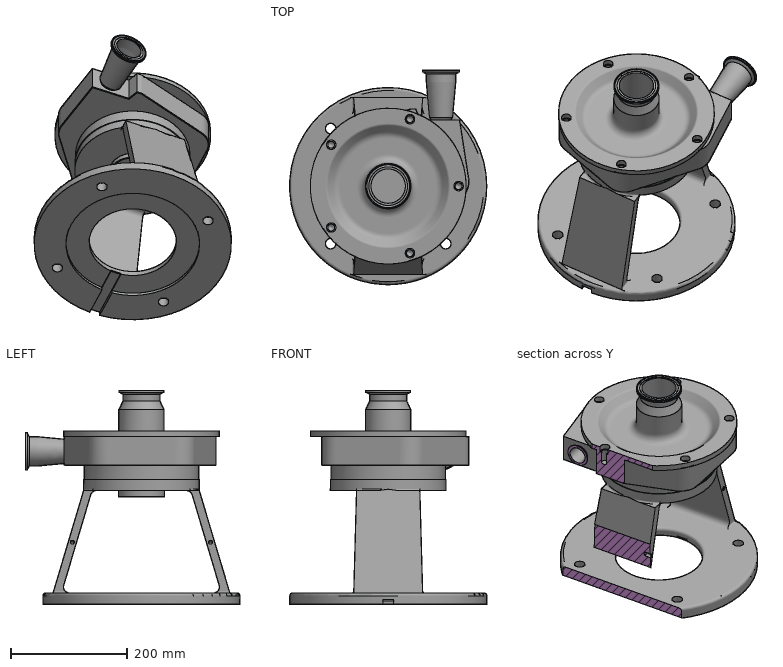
import cadquery as cq
import math

OVERALL_LENGTH = 370.0

BASE_DIAMETER = 340.0
BASE_RADIUS = BASE_DIAMETER / 2
BASE_HEIGHT = 20.0
BASE_EDGE_FILLET = 5.0
BASE_BORE_RADIUS = 75.0
SPIGOT_RADIUS = 115.0
SPIGOT_DEPTH = 6.0
MOUNT_CIRCLE_RADIUS = 140.2
MOUNT_HOLE_COUNT = 4
MOUNT_START_ANGLE = 45.0
MOUNT_HOLE_RADIUS = 9.0
DRAIN_WIDTH = 18.5
DRAIN_HEIGHT = 9.0

HUB_Z = 196.0
HUB_RADIUS = 100.0
HUB_STEP_Z = 215.7
HUB_UPPER_RADIUS = 98.8
BOSS_RADIUS = 40.0
BOSS_HEIGHT = 11.0
BOSS_EDGE_CHAMFER = 1.0

LEG_HEAD_Y = HUB_RADIUS
LEG_FOOT_Y = 152.5
LEG_THICKNESS_Y = 14.8
LEG_HEAD_HALF_WIDTH = 54.8
LEG_FOOT_HALF_WIDTH = 59.5
LEG_INNER_FILLET = 10.0
LEG_SIDE_FILLET = 2.5
LEG_OVERLAP = 3.7
LEG_HOLE_Z = 107.3
LEG_HOLE_RADIUS = 3.5
LEG_HOLE_DEPTH = 11.0

CASING_Z = 239.5
CASING_TOP_Z = 289.5
CASING_APOTHEM = 114.7
CASING_CORNER_RADIUS = 34.8
CASING_EDGE_CHAMFER = 1.0
CASING_SIDES = 5
OUTLET_FACE_X = 123.2
OUTLET_FACE_Y = 114.0
VOLUTE_FLARE = 8.8
HORN_Y = 133.2
HORN_TIP_X = 47.7
HORN_ROOT_X = 55.0

COVER_TOP_Z = 299.5
COVER_RADIUS = 134.3
BOLT_CIRCLE_RADIUS = 121.5
BOLT_HOLE_RADIUS = 8.0
BOLT_CORE_RADIUS = 6.0
BOLT_CORE_DEPTH = 22.2
DISH_DEPTH = 16.3
DISH_FLOOR_RADIUS = 89.0
DISH_FLOOR_FILLET = 15.0
DISH_LIP_FILLET = 5.0

INLET_TOP_Z = 369.0
INLET_NECK_RADIUS = 39.2
INLET_NECK_FILLET = 14.8
INLET_CONE_Z = 335.5
INLET_PIPE_Z = 350.5
INLET_PIPE_RADIUS = 32.2
INLET_FERRULE_RADIUS = 39.0
INLET_BORE_RADIUS = 29.5

OUTLET_X = 91.0
OUTLET_Z = 263.8
OUTLET_END_Y = OVERALL_LENGTH - BASE_RADIUS
OUTLET_PIPE_Y = 179.0
OUTLET_PIPE_RADIUS = 25.5
OUTLET_ROOT_RADIUS = 20.0
OUTLET_NECK_Y = 118.5
OUTLET_NECK_RADIUS = 17.0
OUTLET_FERRULE_RADIUS = 32.2
OUTLET_WALL = 3.0

FERRULE_RIM = 3.7
FERRULE_LENGTH = 7.0
FERRULE_CHAMFER = 2.0
GROOVE_INSET = 3.7
GROOVE_RADIUS = 2.0

DRILL_POINT_ANGLE = 118.0


def cylinder(radius, z_bottom, z_top):
    return cq.Workplane("XY").workplane(offset=z_bottom).circle(radius).extrude(z_top - z_bottom)


def revolved(profile):
    """Solid of revolution about Z from (radius, z) points."""
    return cq.Workplane("XZ").polyline(profile).close().revolve(360, (0, 0), (0, 1))


def drilled_hole(radius, depth):
    """Cutter for a blind hole entering downward at the origin, with a conical bottom."""
    tip = radius / math.tan(math.radians(DRILL_POINT_ANGLE / 2))
    return revolved([(0, 0), (radius, 0), (radius, -depth), (0, -depth - tip)])


def polar_points(radius, count, start):
    angles = [math.radians(start + i * 360 / count) for i in range(count)]
    return [(radius * math.cos(a), radius * math.sin(a)) for a in angles]


def fillet_edges_at(solid, points, radius):
    for point in points:
        solid = solid.edges(cq.selectors.NearestToPointSelector(point)).fillet(radius)
    return solid


def make_base():
    base = cylinder(BASE_RADIUS, 0, BASE_HEIGHT)
    base = base.cut(cylinder(BASE_BORE_RADIUS, 0, BASE_HEIGHT))
    base = base.faces(">Z").edges().fillet(BASE_EDGE_FILLET)
    base = base.cut(cylinder(SPIGOT_RADIUS, 0, SPIGOT_DEPTH))
    holes = (
        cq.Workplane("XY")
        .pushPoints(polar_points(MOUNT_CIRCLE_RADIUS, MOUNT_HOLE_COUNT, MOUNT_START_ANGLE))
        .circle(MOUNT_HOLE_RADIUS)
        .extrude(BASE_HEIGHT)
    )
    drain_length = BASE_RADIUS - BASE_BORE_RADIUS
    drain = cq.Workplane("XY").box(DRAIN_WIDTH, drain_length, DRAIN_HEIGHT, centered=(True, False, False))
    return base.cut(holes).cut(drain.translate((0, -BASE_RADIUS, 0)))


def make_hub():
    hub = cylinder(HUB_RADIUS, HUB_Z, HUB_STEP_Z)
    hub = hub.union(cylinder(HUB_UPPER_RADIUS, HUB_STEP_Z, CASING_Z))
    boss = cylinder(BOSS_RADIUS, HUB_Z - BOSS_HEIGHT, HUB_Z)
    return hub.union(boss.faces("<Z").chamfer(BOSS_EDGE_CHAMFER))


def make_leg():
    """Leg on the -Y end: its side profile crossed with its front profile."""
    low = BASE_HEIGHT - LEG_OVERLAP
    inner_foot = LEG_THICKNESS_Y - LEG_FOOT_Y
    inner_head = LEG_THICKNESS_Y - LEG_HEAD_Y
    flange = 2 * LEG_INNER_FILLET
    side = (
        cq.Workplane("YZ")
        .polyline(
            [
                (-LEG_FOOT_Y, low),
                (inner_foot + flange, low),
                (inner_foot + flange, BASE_HEIGHT),
                (inner_foot, BASE_HEIGHT),
                (inner_head, HUB_Z),
                (inner_head + flange, HUB_Z),
                (inner_head + flange, HUB_Z + LEG_OVERLAP),
                (-LEG_HEAD_Y, HUB_Z + LEG_OVERLAP),
                (-LEG_HEAD_Y, HUB_Z),
                (-LEG_FOOT_Y, BASE_HEIGHT),
            ]
        )
        .close()
        .extrude(BASE_RADIUS, both=True)
    )
    side = fillet_edges_at(
        side, [(0, inner_foot, BASE_HEIGHT), (0, inner_head, HUB_Z)], LEG_INNER_FILLET
    )
    foot = LEG_FOOT_HALF_WIDTH
    head = LEG_HEAD_HALF_WIDTH
    toe = foot + 2 * LEG_SIDE_FILLET
    right_edge = [
        (toe, low),
        (toe, BASE_HEIGHT),
        (foot, BASE_HEIGHT),
        (head, HUB_Z),
        (head, HUB_Z + LEG_OVERLAP),
    ]
    left_edge = [(-x, z) for x, z in reversed(right_edge)]
    front = cq.Workplane("XZ").polyline(right_edge + left_edge).close().extrude(BASE_RADIUS)
    mid_y = -BASE_RADIUS / 2
    front = fillet_edges_at(
        front, [(foot, mid_y, BASE_HEIGHT), (-foot, mid_y, BASE_HEIGHT)], LEG_SIDE_FILLET
    )
    blend = (
        cq.Workplane("XZ")
        .moveTo(0, HUB_Z)
        .lineTo(HUB_RADIUS + LEG_SIDE_FILLET, HUB_Z)
        .radiusArc((HUB_RADIUS, HUB_Z + LEG_SIDE_FILLET), LEG_SIDE_FILLET)
        .lineTo(0, HUB_Z + LEG_SIDE_FILLET)
        .close()
        .revolve(360, (0, 0), (0, 1))
    )
    shape = side.intersect(front).intersect(blend.union(cylinder(BASE_RADIUS, 0, HUB_Z)))
    hole_drop = (HUB_Z - LEG_HOLE_Z) / (HUB_Z - BASE_HEIGHT)
    hole_y = LEG_THICKNESS_Y / 2 - LEG_HEAD_Y
    hole_y -= (LEG_FOOT_Y - LEG_HEAD_Y) * hole_drop
    hole = drilled_hole(LEG_HOLE_RADIUS, LEG_HOLE_DEPTH).rotate((0, 0, 0), (0, 1, 0), -90)
    half_width_drop = (LEG_FOOT_HALF_WIDTH - LEG_HEAD_HALF_WIDTH) * (1 - hole_drop)
    hole = hole.translate((half_width_drop - LEG_FOOT_HALF_WIDTH, hole_y, LEG_HOLE_Z))
    return shape.cut(hole)


def make_casing():
    """Pentagon with rounded corners, opened out at the +X +Y side to carry the outlet."""
    half_angle = math.pi / CASING_SIDES
    corners = polar_points(CASING_APOTHEM / math.cos(half_angle), CASING_SIDES, 0)
    round_corners = corners[2:]
    slope = math.tan(math.radians(VOLUTE_FLARE))
    wall_x_at_axis = OUTLET_FACE_X + slope * OUTLET_FACE_Y
    flare_y = (math.cos(half_angle) * wall_x_at_axis - CASING_APOTHEM) / (
        math.sin(half_angle) + math.cos(half_angle) * slope
    )
    flare_corner = (wall_x_at_axis - slope * flare_y, flare_y)
    round_corners.append(flare_corner)
    side_normal = 3 * half_angle
    horn_start_x = (CASING_APOTHEM - HORN_Y * math.sin(side_normal)) / math.cos(side_normal)
    outline = round_corners + [
        (OUTLET_FACE_X, OUTLET_FACE_Y),
        (HORN_ROOT_X, OUTLET_FACE_Y),
        (HORN_TIP_X, HORN_Y),
        (horn_start_x, HORN_Y),
    ]
    casing = (
        cq.Workplane("XY")
        .workplane(offset=CASING_Z)
        .polyline(outline)
        .close()
        .extrude(CASING_TOP_Z - CASING_Z)
    )
    mid_z = (CASING_Z + CASING_TOP_Z) / 2
    casing = fillet_edges_at(casing, [(x, y, mid_z) for x, y in round_corners], CASING_CORNER_RADIUS)
    return casing.faces("<Z").chamfer(CASING_EDGE_CHAMFER)


def make_dish():
    """Material removed from the cover, leaving the filleted foot of the inlet neck."""
    floor_z = COVER_TOP_Z - DISH_DEPTH
    mouth_radius = DISH_FLOOR_RADIUS + DISH_DEPTH
    dish = revolved(
        [
            (INLET_NECK_RADIUS, floor_z),
            (DISH_FLOOR_RADIUS, floor_z),
            (mouth_radius, COVER_TOP_Z),
            (INLET_NECK_RADIUS, COVER_TOP_Z),
        ]
    )
    dish = dish.faces("<Z").edges(cq.selectors.RadiusNthSelector(1)).fillet(DISH_FLOOR_FILLET)
    return dish.faces("<Z").edges(cq.selectors.RadiusNthSelector(0)).fillet(INLET_NECK_FILLET)


def make_covered_casing():
    cover = cylinder(COVER_RADIUS, CASING_TOP_Z, COVER_TOP_Z)
    casing = make_casing().union(cover).cut(make_dish())
    return casing.faces(">Z").edges(cq.selectors.RadiusNthSelector(1)).fillet(DISH_LIP_FILLET)


def make_bolt_holes():
    """Clearance holes through the cover over narrower tapped holes in the casing."""
    hole = cylinder(BOLT_HOLE_RADIUS, CASING_TOP_Z, COVER_TOP_Z)
    core = drilled_hole(BOLT_CORE_RADIUS, BOLT_CORE_DEPTH).translate((0, 0, CASING_TOP_Z))
    hole = hole.union(core).translate((BOLT_CIRCLE_RADIUS, 0, 0))
    holes = cq.Workplane("XY")
    for i in range(CASING_SIDES):
        holes = holes.union(hole.rotate((0, 0, 0), (0, 0, 1), i * 360 / CASING_SIDES))
    return holes


def ferrule_profile(rim_radius, pipe_radius, end):
    """Points from the pipe wall out to the rim and back to the axis at the pipe end."""
    return [
        (pipe_radius, end - FERRULE_LENGTH),
        (rim_radius - FERRULE_CHAMFER, end - FERRULE_RIM),
        (rim_radius, end - FERRULE_RIM),
        (rim_radius, end),
        (0, end),
    ]


def make_gasket_groove(rim_radius, end):
    """Half-round ring groove in the end face of a ferrule."""
    ring = cq.Workplane("XZ").center(rim_radius - GROOVE_INSET, end).circle(GROOVE_RADIUS)
    return ring.revolve(360, (GROOVE_INSET - rim_radius, 0), (GROOVE_INSET - rim_radius, 1))


def make_inlet():
    neck = revolved(
        [
            (0, CASING_TOP_Z),
            (INLET_NECK_RADIUS, CASING_TOP_Z),
            (INLET_NECK_RADIUS, INLET_CONE_Z),
            (INLET_PIPE_RADIUS, INLET_PIPE_Z),
        ]
        + ferrule_profile(INLET_FERRULE_RADIUS, INLET_PIPE_RADIUS, INLET_TOP_Z)
    )
    return neck.cut(make_gasket_groove(INLET_FERRULE_RADIUS, INLET_TOP_Z))


def place_outlet(solid):
    """Turn a solid built along Z so that it points along +Y on the outlet axis."""
    return solid.rotate((0, 0, 0), (1, 0, 0), -90).translate((OUTLET_X, 0, OUTLET_Z))


def make_outlet():
    pipe = revolved(
        [
            (0, OUTLET_FACE_Y),
            (OUTLET_NECK_RADIUS, OUTLET_FACE_Y),
            (OUTLET_ROOT_RADIUS, OUTLET_NECK_Y),
            (OUTLET_PIPE_RADIUS, OUTLET_PIPE_Y),
        ]
        + ferrule_profile(OUTLET_FERRULE_RADIUS, OUTLET_PIPE_RADIUS, OUTLET_END_Y)
    )
    pipe = pipe.cut(make_gasket_groove(OUTLET_FERRULE_RADIUS, OUTLET_END_Y))
    return place_outlet(pipe)


def make_outlet_bore():
    """Bore that follows the pipe taper, then runs straight into the casing beside the shaft."""
    end_radius = OUTLET_PIPE_RADIUS - OUTLET_WALL
    inner_radius = OUTLET_NECK_RADIUS - OUTLET_WALL
    bore = revolved(
        [
            (0, 0),
            (inner_radius, 0),
            (inner_radius, OUTLET_FACE_Y),
            (end_radius, OUTLET_PIPE_Y),
            (end_radius, OUTLET_END_Y),
            (0, OUTLET_END_Y),
        ]
    )
    return place_outlet(bore)


leg = make_leg()
result = make_base().union(make_hub()).union(leg).union(leg.mirror("XZ"))
result = result.union(make_covered_casing()).cut(make_bolt_holes())
result = result.union(make_inlet()).union(make_outlet())
result = result.cut(cylinder(INLET_BORE_RADIUS, OUTLET_Z, INLET_TOP_Z)).cut(make_outlet_bore())